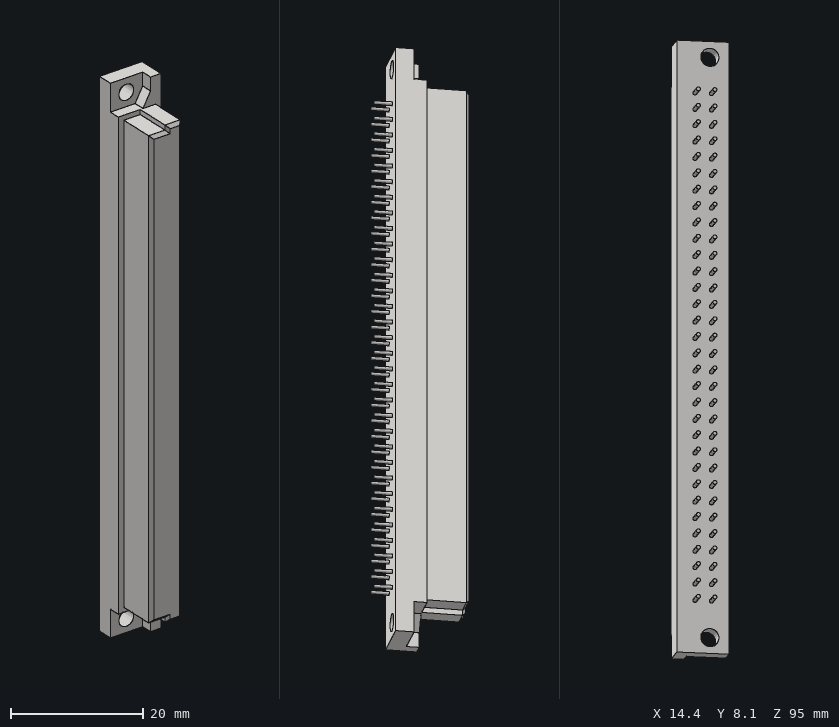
import cadquery as cq

flange_length = 95.0
flange_width = 8.1
flange_depth = 4.8

end_recess_length = 4.9
ear_depth = 2.85
recess_side_wall = 2.0
recess_slope_height = 2.6
recess_slope_run = 1.4

body_projection = 6.8
body_width = 6.0
body_half_step = 0.9
body_split_y = 0.1
body_chamfer = 0.6

pin_diameter = 0.6
pin_projection = 2.85
pins_per_row = 32
pin_row_length = 78.8
pin_pitch = pin_row_length / (pins_per_row - 1)

hole_diameter = 2.8
hole_end_distance = 2.5
hole_y = -1.0

flange_top = flange_length / 2
flange_side = flange_width / 2
body_top = flange_top - end_recess_length


def make_flange():
    return cq.Workplane("XY").box(flange_depth, flange_width, flange_length, centered=(False, True, True))


def make_upper_recess():
    """Recess open to the top, the mating side and -Y, with a slope beside its +Y wall."""
    wall_y = flange_side - recess_side_wall
    outline = [
        (-flange_side, body_top),
        (wall_y - recess_slope_run, body_top),
        (wall_y, body_top + recess_slope_height),
        (wall_y, flange_top),
        (-flange_side, flange_top),
    ]
    recess_depth = flange_depth - ear_depth
    return cq.Workplane("YZ", origin=(ear_depth, 0, 0)).polyline(outline).close().extrude(recess_depth)


def make_body():
    """Stepped plug outline, chamfered all round its free end."""
    side = body_width / 2
    short_top = body_top - body_half_step
    outline = [
        (-side, -short_top),
        (body_split_y, -short_top),
        (body_split_y, -body_top),
        (side, -body_top),
        (side, body_top),
        (body_split_y, body_top),
        (body_split_y, short_top),
        (-side, short_top),
    ]
    body = cq.Workplane("YZ", origin=(flange_depth, 0, 0)).polyline(outline).close().extrude(body_projection)
    return body.faces(">X").edges().chamfer(body_chamfer)


def make_mounting_holes():
    hole_z = flange_top - hole_end_distance
    centres = [(hole_y, -hole_z), (hole_y, hole_z)]
    return cq.Workplane("YZ").pushPoints(centres).circle(hole_diameter / 2).extrude(flange_depth)


def make_pins():
    """Two rows of round pins standing on the -X face of the flange."""
    return (
        cq.Workplane("YZ")
        .rarray(pin_pitch, pin_pitch, 2, pins_per_row)
        .circle(pin_diameter / 2)
        .extrude(-pin_projection)
    )


upper_recess = make_upper_recess()
flange = make_flange().cut(upper_recess).cut(upper_recess.mirror("XY")).cut(make_mounting_holes())
result = flange.union(make_body()).union(make_pins())